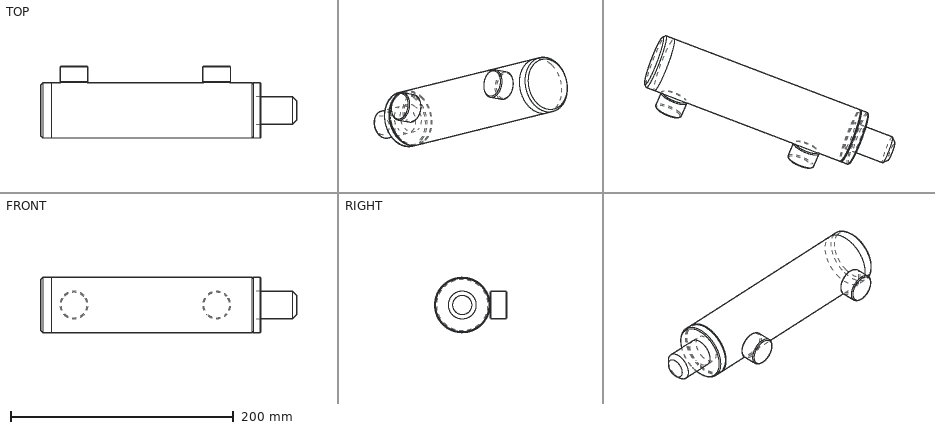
import cadquery as cq

overall_length = 230.0
body_diameter = 50.0
body_radius = body_diameter / 2

cap_length = 10.0
cap_chamfer = 2.0
head_start = 190.0
head_length = 8.0
head_chamfer = 1.0

rod_diameter = 25.0
rod_chamfer = 4.0

port_diameter = 25.0
port_height = 15.2
port_chamfer = 1.0
port_positions = (30.0, 158.0)


def axial_cylinder(diameter, start, end):
    """Solid cylinder along X between two positions."""
    return cq.Workplane("YZ", origin=(start, 0, 0)).circle(diameter / 2).extrude(end - start)


def make_cap():
    """Closed rear cap with a chamfered outer rim."""
    return axial_cylinder(body_diameter, 0, cap_length).faces("<X").chamfer(cap_chamfer)


def make_barrel():
    """Plain barrel between the cap and the head."""
    return axial_cylinder(body_diameter, cap_length, head_start)


def make_head():
    """Head with both rims chamfered and a through hole for the rod."""
    head_end = head_start + head_length
    head = axial_cylinder(body_diameter, head_start, head_end)
    head = head.faces("<X or >X").chamfer(head_chamfer)
    return head.cut(axial_cylinder(rod_diameter, head_start, head_end))


def make_rod():
    """Rod seated on the barrel end, passing through the head."""
    return axial_cylinder(rod_diameter, head_start, overall_length).faces(">X").chamfer(rod_chamfer)


def make_port(position):
    """Round port with both rims chamfered, its flat base touching the barrel."""
    port = (
        cq.Workplane("XZ", origin=(position, body_radius, 0))
        .circle(port_diameter / 2)
        .extrude(-port_height)
    )
    return port.faces("<Y or >Y").chamfer(port_chamfer)


cap = make_cap()
barrel = make_barrel()
head = make_head()
rod = make_rod()
ports = [make_port(position) for position in port_positions]

result = cq.Compound.makeCompound(
    [cap.val(), barrel.val(), head.val(), rod.val(), *[port.val() for port in ports]]
)